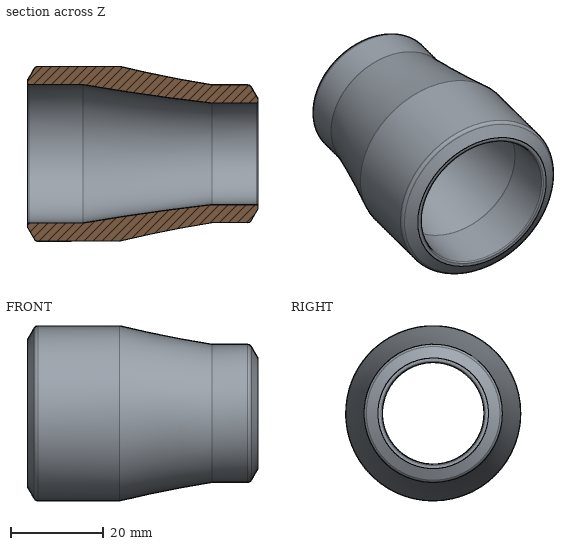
import cadquery as cq
import math

length = 50.0
taper_start = 20.0
taper_end = 40.0
bore_taper_start = 12.0

large_radius = 19.0
small_radius = 15.0
wall = 4.0
taper_sag = 0.2

land = 1.0
bevel_angle = math.radians(60)
bevel_round = 1.0
bore_round = 0.3

bevel_depth = (wall - land) / math.tan(bevel_angle)


def revolved_body(large, small, narrowing_start):
    """Solid of revolution about X that narrows from `large` to `small` radius along an arc."""
    middle = ((narrowing_start + taper_end) / 2, (large + small) / 2 - taper_sag)
    profile = (
        cq.Workplane("XY")
        .lineTo(0, large)
        .lineTo(narrowing_start, large)
        .threePointArc(middle, (taper_end, small))
        .lineTo(length, small)
        .lineTo(length, 0)
        .close()
    )
    return profile.revolve(360, (0, 0, 0), (1, 0, 0))


def bevel_cutter(face_x, inward, radius):
    """Ring that cuts the bevel; `inward` is +1 or -1 along X into the part."""
    clearance = 0.5
    extra_depth = clearance / math.tan(bevel_angle)
    land_radius = radius - wall + land
    profile = cq.Workplane("XY").polyline([
        (face_x, land_radius),
        (face_x + inward * (bevel_depth + extra_depth), radius + clearance),
        (face_x, radius + clearance),
    ])
    return profile.close().revolve(360, (0, 0, 0), (1, 0, 0))


def circle_at(x, radius):
    """Selector for the circular edge of this radius centred on the axis at x."""
    margin = 0.005
    return cq.selectors.BoxSelector(
        (x - margin, -radius - margin, -radius - margin),
        (x + margin, radius + margin, radius + margin),
        boundingbox=True,
    )


result = revolved_body(large_radius, small_radius, taper_start)
result = result.cut(bevel_cutter(0, 1, large_radius))
result = result.cut(bevel_cutter(length, -1, small_radius))
result = result.edges(circle_at(bevel_depth, large_radius)).fillet(bevel_round)
result = result.edges(circle_at(length - bevel_depth, small_radius)).fillet(bevel_round)

result = result.cut(revolved_body(large_radius - wall, small_radius - wall, bore_taper_start))
result = result.edges(circle_at(0, large_radius - wall)).fillet(bore_round)
result = result.edges(circle_at(length, small_radius - wall)).fillet(bore_round)